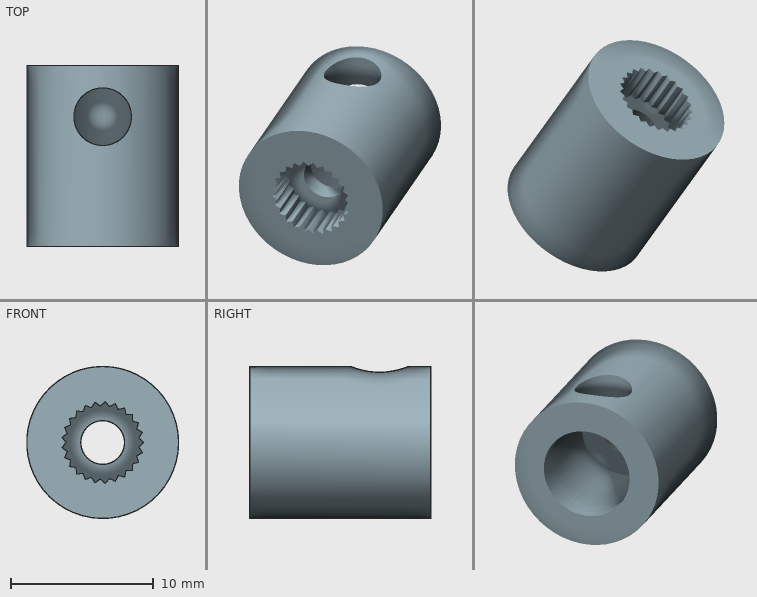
import cadquery as cq
import math

length = 12.7
outer_diameter = 10.67
front_y = -length / 2
back_y = length / 2

tooth_count = 25
spline_tip_radius = 2.87
spline_root_radius = 2.57
spline_depth = 3.0

web_hole_diameter = 3.05
web_thickness = 1.5

bore_diameter = 6.35
bore_depth = length - spline_depth - web_thickness

cross_hole_diameter = 4.04
cross_hole_from_back = 3.6


def cylinder_along_y(diameter, start_y, depth):
    """Solid cylinder on the Y axis, running from start_y toward +Y."""
    plane = cq.Plane(origin=(0, start_y, 0), xDir=(1, 0, 0), normal=(0, 1, 0))
    return cq.Workplane(plane).circle(diameter / 2).extrude(depth)


def spline_socket():
    """Star-shaped prism with one groove tip pointing toward +X."""
    points = []
    for index in range(2 * tooth_count):
        radius = spline_tip_radius if index % 2 == 0 else spline_root_radius
        angle = index * math.pi / tooth_count
        points.append((radius * math.cos(angle), radius * math.sin(angle)))
    plane = cq.Plane(origin=(0, front_y, 0), xDir=(1, 0, 0), normal=(0, 1, 0))
    return cq.Workplane(plane).polyline(points).close().extrude(spline_depth)


def cross_hole():
    """Vertical cylinder from the axis up through the top of the wall."""
    center_y = back_y - cross_hole_from_back
    hole = cq.Workplane("XY").center(0, center_y)
    return hole.circle(cross_hole_diameter / 2).extrude(outer_diameter / 2)


body = cylinder_along_y(outer_diameter, front_y, length)
body = body.cut(spline_socket())
body = body.cut(cylinder_along_y(web_hole_diameter, front_y, length))
body = body.cut(cylinder_along_y(bore_diameter, back_y - bore_depth, bore_depth))
result = body.cut(cross_hole())